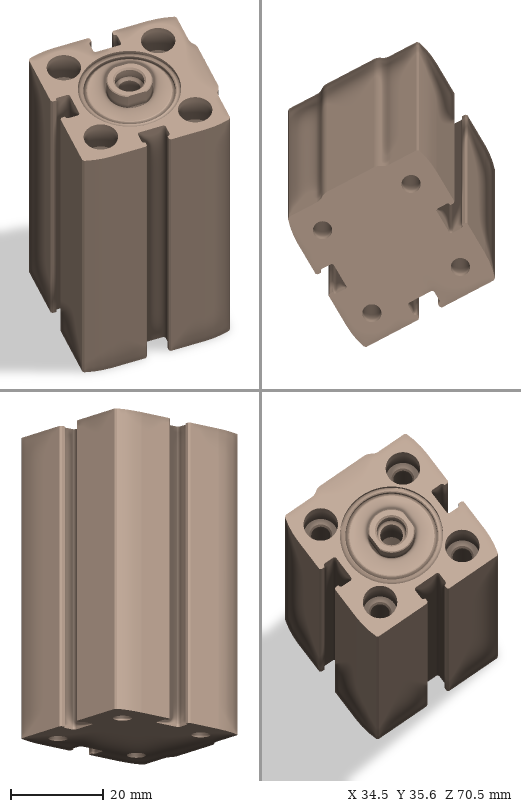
import cadquery as cq
import math


total_height = 70.5
body_height = 67.55
body_width = 34.5
half_width = body_width / 2
bump_height = 1.05
bump_flat_half = 5.85
bump_foot_half = 8.95
side_flat_half = 10.8
side_drop = 1.05
corner_chamfer = 0.35

slot_mouth_width = 5.15
slot_inner_width = 6.5
slot_depth = 4.45
slot_lip = 1.2
slot_mouth_chamfer = 0.35
slot_inner_radius = 0.55

hole_pitch = 22.0
hole_diameter = 4.15
hole_chamfer_diameter = 4.9
counterbore_diameter = 7.5
counterbore_depth = 7.05

groove_diameter = 22.4
groove_depth = 0.85
ridge_radius = 10.2
ridge_drop = 0.3
bore_diameter = 20.0
cap_slope_radius = 9.3
cap_face_radius = 9.1
cap_drop = 0.5
cap_edge_drop = 0.1

rod_diameter = 10.0
rod_insertion = 21.15
rod_chamfer = 0.2
rod_mouth_chamfer = 0.2
rod_flats_width = 9.0
flat_run_below_cap = 0.2

socket_mouth_diameter = 7.2
socket_diameter = 6.4
socket_depth = 2.55
socket_step_height = 0.5
tap_diameter = 4.9
tap_depth = 11.3
drill_tip_angle = 118.0


def turned(points):
    """Solid of revolution about Z from (radius, height) points."""
    return cq.Workplane("XZ").polyline(points).close().revolve(360, (0, 0, 0), (0, 1, 0))


def housing_blank():
    """Extruded square with curved X sides and a raised pad on +Y."""
    corner_x = half_width - side_drop
    side_run = half_width - side_flat_half
    side_radius = (side_run**2 + side_drop**2) / (2 * side_drop)
    bump_top = half_width + bump_height
    bump_mid = ((bump_flat_half + bump_foot_half) / 2, half_width + bump_height / 2)

    blank = (
        cq.Workplane("XY")
        .moveTo(0, -half_width)
        .lineTo(corner_x, -half_width)
        .radiusArc((half_width, -side_flat_half), -side_radius)
        .lineTo(half_width, side_flat_half)
        .radiusArc((corner_x, half_width), -side_radius)
        .lineTo(bump_foot_half, half_width)
        .tangentArcPoint(bump_mid, relative=False)
        .tangentArcPoint((bump_flat_half, bump_top), relative=False)
        .lineTo(0, bump_top)
        .mirrorY()
        .extrude(body_height)
    )
    for x in (-corner_x, corner_x):
        for y in (-half_width, half_width):
            corner = cq.selectors.NearestToPointSelector((x, y, body_height / 2))
            blank = blank.edges(corner).chamfer(corner_chamfer)
    return blank


def t_slot():
    """Cutter for the slot in the -Y side, with a chamfered mouth and rounded inner corners."""
    mouth_y = -half_width
    mouth_half = slot_mouth_width / 2
    inner = (
        cq.Workplane("XY")
        .rect(slot_inner_width, slot_depth - slot_lip)
        .extrude(body_height)
        .edges("|Z")
        .fillet(slot_inner_radius)
        .translate((0, mouth_y + (slot_lip + slot_depth) / 2, 0))
    )
    neck = (
        cq.Workplane("XY")
        .moveTo(0, mouth_y)
        .lineTo(mouth_half + slot_mouth_chamfer, mouth_y)
        .lineTo(mouth_half, mouth_y + slot_mouth_chamfer)
        .lineTo(mouth_half, mouth_y + slot_depth / 2)
        .lineTo(0, mouth_y + slot_depth / 2)
        .mirrorY()
        .extrude(body_height)
    )
    return inner.union(neck)


def mounting_hole():
    """Cutter for one through hole, chamfered below its counterbore."""
    floor = body_height - counterbore_depth
    chamfer = (hole_chamfer_diameter - hole_diameter) / 2
    return turned([
        (0, 0),
        (hole_diameter / 2, 0),
        (hole_diameter / 2, floor - chamfer),
        (hole_chamfer_diameter / 2, floor),
        (counterbore_diameter / 2, floor),
        (counterbore_diameter / 2, body_height),
        (0, body_height),
    ])


def rod_end_recess():
    """Cutter for the ring groove, the ridge and the space above the bearing cap."""
    bore_radius = bore_diameter / 2
    groove_radius = groove_diameter / 2
    ridge_chamfer = ridge_radius - bore_radius
    ridge_top = body_height - ridge_drop
    cap_top = body_height - cap_drop
    slope_top = cap_top - cap_edge_drop
    slope_foot = slope_top - (bore_radius - cap_slope_radius)
    return turned([
        (0, body_height),
        (groove_radius, body_height),
        (groove_radius, body_height - groove_depth),
        (ridge_radius, ridge_top),
        (bore_radius, ridge_top - ridge_chamfer),
        (bore_radius, slope_foot),
        (cap_slope_radius, slope_top),
        (cap_face_radius, cap_top),
        (0, cap_top),
    ])


def rod_passage():
    """Cutter for the blind rod hole with a chamfered mouth."""
    radius = rod_diameter / 2
    cap_top = body_height - cap_drop
    return turned([
        (0, body_height - rod_insertion),
        (radius, body_height - rod_insertion),
        (radius, cap_top - rod_mouth_chamfer),
        (radius + rod_mouth_chamfer, cap_top),
        (0, cap_top),
    ])


def make_housing():
    housing = housing_blank()
    for angle in (-90, 0, 90):
        housing = housing.cut(t_slot().rotate((0, 0, 0), (0, 0, 1), angle))
    for x in (-hole_pitch / 2, hole_pitch / 2):
        for y in (-hole_pitch / 2, hole_pitch / 2):
            housing = housing.cut(mounting_hole().translate((x, y, 0)))
    return housing.cut(rod_end_recess()).cut(rod_passage())


def rod_socket():
    """Cutter for the stepped socket with a drill-point bottom."""
    mouth_radius = socket_mouth_diameter / 2
    socket_radius = socket_diameter / 2
    tap_radius = tap_diameter / 2
    step_z = total_height - socket_depth
    tap_z = total_height - tap_depth
    tip_height = tap_radius / math.tan(math.radians(drill_tip_angle / 2))
    return turned([
        (0, total_height),
        (mouth_radius, total_height),
        (socket_radius, total_height - (mouth_radius - socket_radius)),
        (socket_radius, step_z),
        (tap_radius, step_z - socket_step_height),
        (tap_radius, tap_z),
        (0, tap_z - tip_height),
    ])


def wrench_flat():
    """Cutter for the flat on the +X side, running out at 45 degrees at its lower end."""
    flat_x = rod_flats_width / 2
    outer_x = rod_diameter
    run_out = outer_x - flat_x
    flat_end = body_height - cap_drop - flat_run_below_cap
    return (
        cq.Workplane("XZ")
        .moveTo(flat_x, total_height)
        .lineTo(flat_x, flat_end)
        .lineTo(outer_x, flat_end - run_out)
        .lineTo(outer_x, total_height)
        .close()
        .extrude(rod_diameter, both=True)
    )


def make_rod():
    rod_base = body_height - rod_insertion
    rod = (
        cq.Workplane("XY")
        .workplane(offset=rod_base)
        .circle(rod_diameter / 2)
        .extrude(total_height - rod_base)
        .faces(">Z")
        .chamfer(rod_chamfer)
    )
    for angle in (0, 180):
        rod = rod.cut(wrench_flat().rotate((0, 0, 0), (0, 0, 1), angle))
    return rod.cut(rod_socket())


housing = make_housing()
rod = make_rod()
result = cq.Compound.makeCompound([housing.val(), rod.val()])